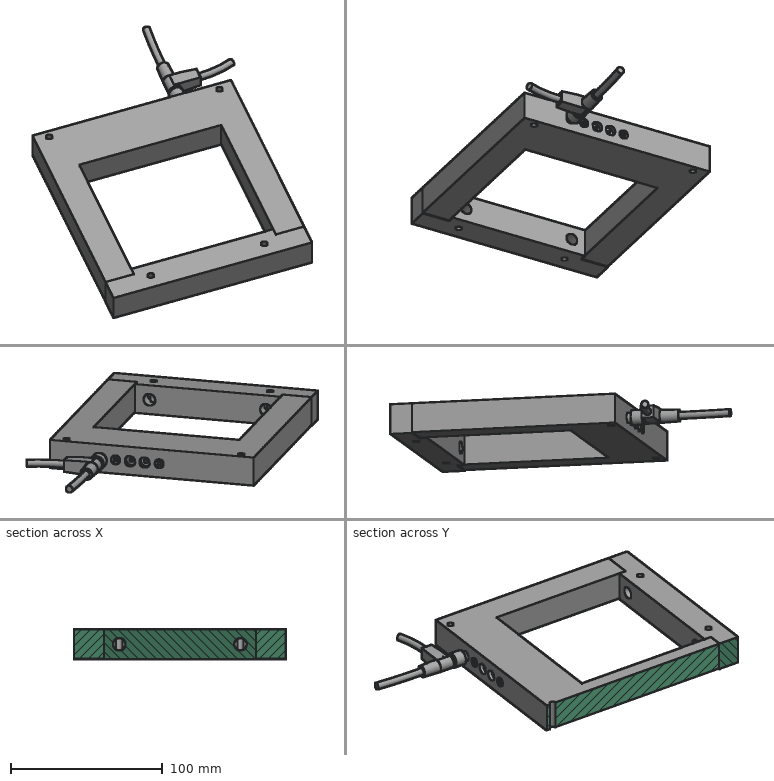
import cadquery as cq
import math

FRAME_LENGTH = 153.0
FRAME_WIDTH = 140.0
ARM_WIDTH = 20.0
SPINE_WIDTH = 35.0
BAR_HEIGHT = 20.0
HOUSING_HEIGHT = 19.5
BAR_DEPTH = 20.0
TONGUE_DEPTH = 5.0
WINDOW_WIDTH = FRAME_WIDTH - 2 * ARM_WIDTH
ARM_END_X = FRAME_LENGTH - BAR_DEPTH + TONGUE_DEPTH
HALF_WIDTH = FRAME_WIDTH / 2
MID_Z = BAR_HEIGHT / 2

MOUNT_DIAMETER = 4.2
HOUSING_MOUNT_X = 5.0
HOUSING_MOUNT_EDGE = 10.0
BAR_MOUNT_X = FRAME_LENGTH - BAR_DEPTH / 2
BAR_MOUNT_EDGE = 30.0

FACE_PITCH = 10.0
SCREW_PLACES = (1, 4)
LAMP_PLACES = (2, 3)
CONNECTOR_EDGE = 35.0
AXIS_Y = HALF_WIDTH - CONNECTOR_EDGE
SCREW_RECESS_DIAMETER = 6.0
SCREW_RECESS_DEPTH = 0.5
LAMP_RECESS_DIAMETER = 7.0
LAMP_RECESS_DEPTH = 3.0
CENTRE_HOLE_DIAMETER = 2.5
CENTRE_HOLE_DEPTH = 1.0

BAR_HOLE_DIAMETER = 8.0
BAR_HOLE_DEPTH = 10.0
BAR_HOLE_ARM_GAP = 10.0

NUB_DIAMETER = 7.0
NUB_LENGTH = 3.0
NUT_DIAMETER = 10.0
NUT_END = 10.6

NECK_DIAMETER = NUB_DIAMETER
NECK_END = 12.1
BODY_DIAMETER = 9.0
BODY_END = 22.7
SLEEVE_LARGE_DIAMETER = 8.8
SLEEVE_SMALL_DIAMETER = 8.0
SLEEVE_END = 35.0
CABLE_DIAMETER = 4.8
STRAIGHT_CABLE_RUN = 35.0
STRAIGHT_BEND_RADIUS = 400.0

ELBOW_SIZE = BODY_DIAMETER
ELBOW_X = -BODY_END + ELBOW_SIZE / 2
ELBOW_BLOCK_END = 8.0
ELBOW_TIP_SIZE = 8.0
ELBOW_TIP_END = 19.0
ELBOW_CABLE_RUN = 25.22
ELBOW_BEND_RADIUS = 70.0


def slab(start_x, end_x, width, height):
    """Block between two X positions, centred on Y = 0, with its base at Z = 0."""
    return (
        cq.Workplane("XY", origin=(start_x, 0, 0))
        .box(end_x - start_x, width, height, centered=(False, True, False))
    )


def mount_holes(x, edge_distance):
    """Cutters through Z for a pair of holes placed symmetrically about Y = 0."""
    y = HALF_WIDTH - edge_distance
    return (
        cq.Workplane("XY")
        .pushPoints([(x, y), (x, -y)])
        .circle(MOUNT_DIAMETER / 2)
        .extrude(BAR_HEIGHT)
    )


def x_cylinder(x, y, diameter, length):
    """Cylinder at mid height that starts at x and runs toward +X."""
    return (
        cq.Workplane("YZ", origin=(x, y, MID_Z))
        .circle(diameter / 2)
        .extrude(length)
    )


def face_recess(y, diameter, depth):
    """Cutter for a round recess with a small hole in the middle of its floor."""
    recess = x_cylinder(0, y, diameter, depth)
    return recess.union(x_cylinder(0, y, CENTRE_HOLE_DIAMETER, depth + CENTRE_HOLE_DEPTH))


def make_housing():
    underside = BAR_HEIGHT - HOUSING_HEIGHT
    body = slab(0, ARM_END_X, FRAME_WIDTH, HOUSING_HEIGHT).translate((0, 0, underside))
    window = slab(SPINE_WIDTH, ARM_END_X, WINDOW_WIDTH, BAR_HEIGHT)
    body = body.cut(window).cut(mount_holes(HOUSING_MOUNT_X, HOUSING_MOUNT_EDGE))
    for place in SCREW_PLACES:
        y = AXIS_Y - place * FACE_PITCH
        body = body.cut(face_recess(y, SCREW_RECESS_DIAMETER, SCREW_RECESS_DEPTH))
    for place in LAMP_PLACES:
        y = AXIS_Y - place * FACE_PITCH
        body = body.cut(face_recess(y, LAMP_RECESS_DIAMETER, LAMP_RECESS_DEPTH))
    return body


def make_end_bar():
    inner_x = FRAME_LENGTH - BAR_DEPTH
    bar = slab(ARM_END_X, FRAME_LENGTH, FRAME_WIDTH, BAR_HEIGHT)
    tongue = slab(inner_x, FRAME_LENGTH, WINDOW_WIDTH, BAR_HEIGHT)
    bar = bar.union(tongue).cut(mount_holes(BAR_MOUNT_X, BAR_MOUNT_EDGE))
    for side in (-1, 1):
        y = side * (WINDOW_WIDTH / 2 - BAR_HOLE_ARM_GAP)
        bar = bar.cut(x_cylinder(inner_x, y, BAR_HOLE_DIAMETER, BAR_HOLE_DEPTH))
    return bar


def make_socket():
    nub = x_cylinder(-NUB_LENGTH, AXIS_Y, NUB_DIAMETER, NUB_LENGTH)
    nut = x_cylinder(-NUT_END, AXIS_Y, NUT_DIAMETER, NUT_END - NUB_LENGTH)
    return nub.union(nut)


def make_straight_plug():
    neck = x_cylinder(-NECK_END, AXIS_Y, NECK_DIAMETER, NECK_END - NUT_END)
    body = x_cylinder(-BODY_END, AXIS_Y, BODY_DIAMETER, BODY_END - NECK_END)
    sleeve = (
        cq.Workplane("YZ", origin=(-SLEEVE_END, AXIS_Y, MID_Z))
        .circle(SLEEVE_SMALL_DIAMETER / 2)
        .workplane(offset=SLEEVE_END - BODY_END)
        .circle(SLEEVE_LARGE_DIAMETER / 2)
        .loft()
    )
    bend = math.degrees(math.asin(STRAIGHT_CABLE_RUN / STRAIGHT_BEND_RADIUS))
    cable = (
        cq.Workplane("YZ", origin=(-SLEEVE_END, AXIS_Y, MID_Z))
        .circle(CABLE_DIAMETER / 2)
        .revolve(bend, (STRAIGHT_BEND_RADIUS, 0), (STRAIGHT_BEND_RADIUS, -1))
    )
    return neck.union(body).union(sleeve).union(cable)


def make_angled_plug():
    block = (
        cq.Workplane("XY")
        .box(ELBOW_SIZE, ELBOW_BLOCK_END, ELBOW_SIZE, centered=(True, False, True))
        .translate((ELBOW_X, AXIS_Y, MID_Z))
    )
    tip_y = AXIS_Y + ELBOW_TIP_END
    tip = (
        cq.Workplane("XZ", origin=(ELBOW_X, tip_y, MID_Z))
        .rect(ELBOW_TIP_SIZE, ELBOW_TIP_SIZE)
        .workplane(offset=ELBOW_TIP_END - ELBOW_BLOCK_END)
        .rect(ELBOW_SIZE, ELBOW_SIZE)
        .loft()
    )
    bend = math.degrees(math.asin(ELBOW_CABLE_RUN / ELBOW_BEND_RADIUS))
    cable = (
        cq.Workplane("XZ", origin=(ELBOW_X, tip_y, MID_Z))
        .circle(CABLE_DIAMETER / 2)
        .revolve(bend, (-ELBOW_BEND_RADIUS, 0), (-ELBOW_BEND_RADIUS, 1))
    )
    seat = x_cylinder(-BODY_END, AXIS_Y, BODY_DIAMETER, ELBOW_SIZE)
    return block.cut(seat).union(tip).union(cable)


housing = make_housing()
end_bar = make_end_bar()
socket = make_socket()
straight_plug = make_straight_plug()
angled_plug = make_angled_plug()

result = cq.Compound.makeCompound(
    [housing.val(), end_bar.val(), socket.val(), straight_plug.val(), angled_plug.val()]
)